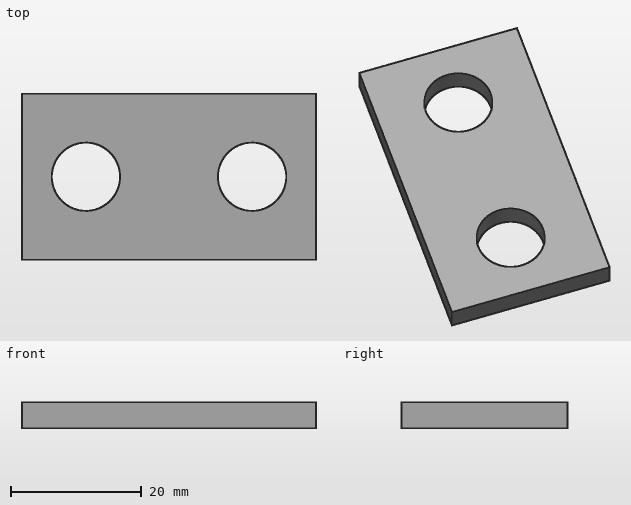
import cadquery as cq

length = 44.96
width = 25.4
thickness = 4.0

hole_diameter = 10.41
hole_spacing = 25.4


def make_plate():
    """Flat rectangular plate resting on Z = 0."""
    return cq.Workplane("XY").box(length, width, thickness, centered=(True, True, False))


def drill_holes(plate):
    """Cut the pair of round holes through the full thickness."""
    hole_centers = [(side * hole_spacing / 2, 0) for side in (-1, 1)]
    return plate.faces(">Z").workplane().pushPoints(hole_centers).hole(hole_diameter)


result = drill_holes(make_plate())